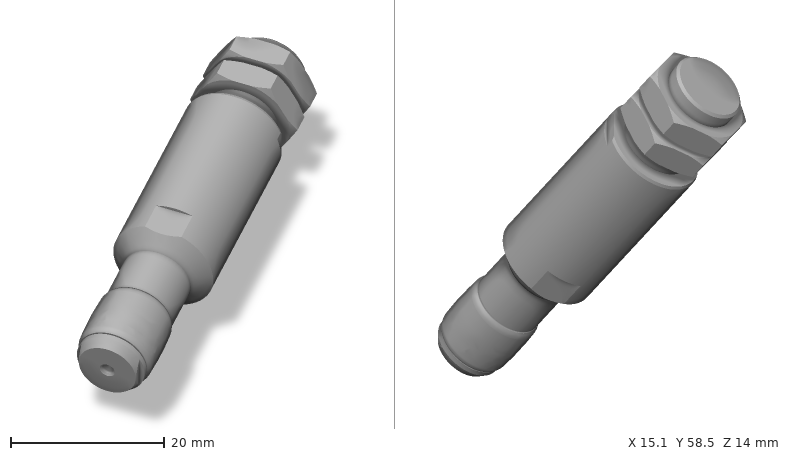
import cadquery as cq
import math

LENGTH = 58.5

STEM_RADIUS = 9.5 / 2
NECK_RADIUS = 8.9 / 2
THREAD_RADIUS = 10.0 / 2
THREAD_START = 45.85
THREAD_CHAMFER = 0.35
NOSE_FACE_RADIUS = 7.95 / 2
NOSE_CONE_LENGTH = 1.2
NOSE_FLAT_OFFSET = 4.05
NECK_START = 1.95
NECK_END = 10.8

HOLE_MOUTH_RADIUS = 2.1 / 2
HOLE_RADIUS = 1.6 / 2
HOLE_CHAMFER = HOLE_MOUTH_RADIUS - HOLE_RADIUS
HOLE_BORE_END = 0.6
DRILL_POINT_ANGLE = math.radians(118)
HOLE_POINT_LENGTH = HOLE_RADIUS / math.tan(DRILL_POINT_ANGLE / 2)

BARREL_START = 2.1
BARREL_END = 10.65
BARREL_SHOULDER = 0.95
BARREL_END_RADIUS = 9.6 / 2
BARREL_SHOULDER_RADIUS = 10.25 / 2
BARREL_RADIUS = 10.5 / 2
SHOULDER_BULGE = 0.09

NUT_CORNER_RADIUS = 15.05 / 2
ACROSS_FLATS = NUT_CORNER_RADIUS * math.sqrt(3)

HOUSING_START = 17.7
HOUSING_END = 45.65
HOUSING_RADIUS = 14.0 / 2
CONE_LENGTH = HOUSING_RADIUS - STEM_RADIUS
REAR_CHAMFER_LENGTH = 0.4
REAR_CHAMFER_DEPTH = 0.2
FRONT_FLAT_END = 23.9
REAR_FLAT_START = 44.05

NUT_THICKNESS = 3.5
NUT_STARTS = (48.2, 52.7)
NUT_FACE_RADIUS = ACROSS_FLATS / 2 + 0.1
NUT_CHAMFER_ANGLE = math.radians(30)
NUT_CHAMFER_LENGTH = (NUT_CORNER_RADIUS - NUT_FACE_RADIUS) * math.tan(NUT_CHAMFER_ANGLE)


def revolve_about_y(profile):
    """Revolve a closed (radius, y) profile about the Y axis."""
    return profile.close().revolve(360, (0, 0, 0), (0, 1, 0))


def revolve_points(points):
    return revolve_about_y(cq.Workplane("XY").polyline(points))


def flat_cutters(start, end, offset, turn=0):
    """Pair of blocks outside x = +/- offset, turned about Y by the given angle."""
    size = 2 * HOUSING_RADIUS
    blocks = cq.Workplane("XY")
    for side in (-1, 1):
        center = (side * (offset + size / 2), (start + end) / 2, 0)
        blocks = blocks.add(cq.Workplane("XY").box(size, end - start, size).translate(center))
    return blocks.combine().rotate((0, 0, 0), (0, 1, 0), turn)


def make_core():
    core = revolve_points([
        (0, 0),
        (NOSE_FACE_RADIUS, 0),
        (STEM_RADIUS, NOSE_CONE_LENGTH),
        (STEM_RADIUS, NECK_START),
        (NECK_RADIUS, NECK_START),
        (NECK_RADIUS, NECK_END),
        (STEM_RADIUS, NECK_END),
        (STEM_RADIUS, THREAD_START),
        (THREAD_RADIUS, THREAD_START),
        (THREAD_RADIUS, LENGTH - THREAD_CHAMFER),
        (THREAD_RADIUS - THREAD_CHAMFER, LENGTH),
        (0, LENGTH),
    ])
    center_hole = revolve_points([
        (0, 0),
        (HOLE_MOUTH_RADIUS, 0),
        (HOLE_RADIUS, HOLE_CHAMFER),
        (HOLE_RADIUS, HOLE_BORE_END),
        (0, HOLE_BORE_END + HOLE_POINT_LENGTH),
    ])
    nose_flats = flat_cutters(0, NOSE_CONE_LENGTH, NOSE_FLAT_OFFSET)
    return core.cut(center_hole).cut(nose_flats)


def make_barrel():
    front_shoulder = BARREL_START + BARREL_SHOULDER
    rear_shoulder = BARREL_END - BARREL_SHOULDER
    shoulder_mid_radius = (BARREL_END_RADIUS + BARREL_SHOULDER_RADIUS) / 2 + SHOULDER_BULGE
    return revolve_about_y(
        cq.Workplane("XY")
        .moveTo(NECK_RADIUS, BARREL_START)
        .lineTo(BARREL_END_RADIUS, BARREL_START)
        .threePointArc(
            (shoulder_mid_radius, BARREL_START + BARREL_SHOULDER / 2),
            (BARREL_SHOULDER_RADIUS, front_shoulder),
        )
        .threePointArc(
            (BARREL_RADIUS, (BARREL_START + BARREL_END) / 2),
            (BARREL_SHOULDER_RADIUS, rear_shoulder),
        )
        .threePointArc(
            (shoulder_mid_radius, BARREL_END - BARREL_SHOULDER / 2),
            (BARREL_END_RADIUS, BARREL_END),
        )
        .lineTo(NECK_RADIUS, BARREL_END)
    )


def make_housing():
    sleeve = revolve_points([
        (STEM_RADIUS, HOUSING_START),
        (HOUSING_RADIUS, HOUSING_START + CONE_LENGTH),
        (HOUSING_RADIUS, HOUSING_END - REAR_CHAMFER_LENGTH),
        (HOUSING_RADIUS - REAR_CHAMFER_DEPTH, HOUSING_END),
        (STEM_RADIUS, HOUSING_END),
    ])
    front_flats = flat_cutters(HOUSING_START, FRONT_FLAT_END, ACROSS_FLATS / 2, turn=90)
    rear_flats = flat_cutters(REAR_FLAT_START, HOUSING_END, ACROSS_FLATS / 2)
    return sleeve.cut(front_flats).cut(rear_flats)


def make_nut(start):
    end = start + NUT_THICKNESS
    hexagon = (
        cq.Workplane("XZ", origin=(0, end, 0))
        .polygon(6, 2 * NUT_CORNER_RADIUS)
        .extrude(NUT_THICKNESS)
    )
    chamfered_ring = revolve_points([
        (THREAD_RADIUS, start),
        (NUT_FACE_RADIUS, start),
        (NUT_CORNER_RADIUS, start + NUT_CHAMFER_LENGTH),
        (NUT_CORNER_RADIUS, end - NUT_CHAMFER_LENGTH),
        (NUT_FACE_RADIUS, end),
        (THREAD_RADIUS, end),
    ])
    return hexagon.intersect(chamfered_ring)


core = make_core()
barrel = make_barrel()
housing = make_housing()
nuts = [make_nut(start) for start in NUT_STARTS]

bodies = [core, barrel, housing, *nuts]
result = cq.Compound.makeCompound([body.solids().val() for body in bodies])